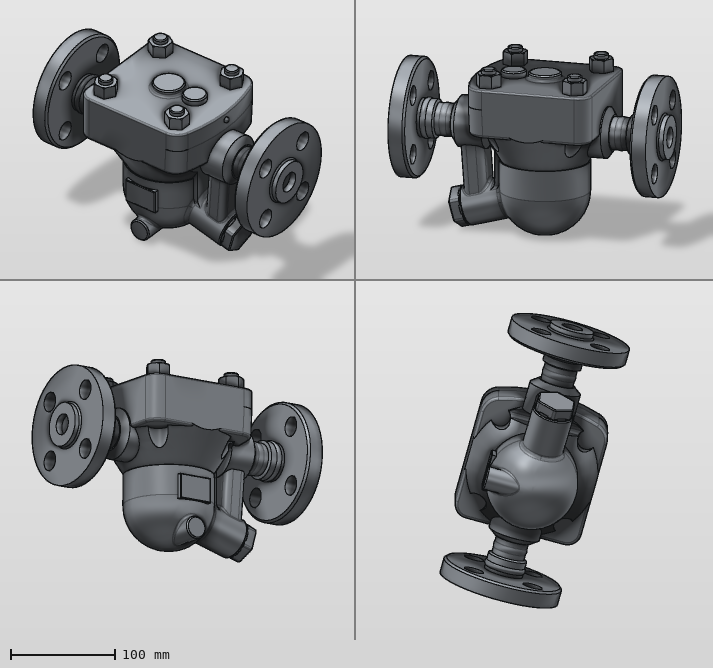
import cadquery as cq
import math

half_length = 135.5
flange_diameter = 117.0
flange_outer_face = 129.3
flange_inner_face = 113.0
flange_chamfer = 2.2
raised_face_diameter = 42.8
raised_face_flare = 1.5
bore_diameter = 20.0
bore_depth = 6.8
flange_hole_diameter = 19.0
flange_hole_spacing = 58.3
sleeve_diameter = 38.0
sleeve_bead_diameter = 40.0
sleeve_bead_ends = (104.0, 109.8)
sleeve_end = 97.5
sleeve_chamfer = 1.4
pipe_diameter = 32.0
pipe_bead_diameter = 33.0
pipe_bead_ends = (84.8, 91.0)
hub_diameter = 50.0
hub_cone_start = 73.7
hub_cone_end = 79.5
hub_cone_end_diameter = 35.2

block_left = -72.4
block_right = 58.8
block_width = 125.0
block_half_width = block_width / 2
block_top = 48.8
block_parting = 29.8
block_bottom = 1.5
left_corner_radius = 13.8
right_corner_radius = 18.0
bulge_radius = 168.0
bulge_draft = 1.4
block_top_fillet = 1.5
block_bottom_fillet = 2.7

body_x = -10.3
hex_sides = 6
stud_offset = 43.0
corner_sides = [(x_side, y_side) for x_side in (-1, 1) for y_side in (-1, 1)]
stud_diameter = 14.0
stud_top = 66.0
stud_chamfer = 1.0
nut_corner_diameter = 24.0
nut_top = 61.5
nut_chamfer = 1.0
stud_pocket_diameter = 19.0
stud_pocket_bottom = -24.5

boss_top = 55.3
main_boss_diameter = 32.0
main_boss_base_diameter = 38.0
main_boss_chamfer = 1.4
small_boss_diameter = 24.0
small_boss_x = 21.1
small_boss_chamfer = 1.4
locating_pin_diameter = 6.0
locating_pin_tip = 61.8
locating_pin_z = 40.6
locating_pin_fillet = 2.5

bowl_radius = 44.0
bowl_center_z = -61.8
bowl_top = -32.0
neck_bottom_radius = 42.5
neck_slope = 0.61
wall_right = 35.8
wall_half_width = 14.5
plate_width = 35.5
plate_height = 24.5
plate_center_z = -53.7
plate_face_y = -45.0
plate_chamfer = 0.8
drain_diameter = 22.2
drain_z = -92.7
drain_face_y = -46.3
drain_chamfer = 1.4
drain_fillet = 2.5

branch_angle = 15.3
branch_diameter = 40.0
branch_length = 80.8
branch_chamfer = 1.0
branch_fillet = 5.0
cap_corner_diameter = 40.6
cap_corner_fillet = 3.0
cap_start = 81.8
cap_end = 92.5
cap_neck_diameter = 36.3
cap_chamfer = 1.0
duct_x = 60.0
duct_top = -10.8
duct_length = 65.0
duct_tilt = 4.2
duct_width = 23.0
duct_depth = 32.5
duct_corner_fillet = 6.8
slot_width = 10.8
slot_top = 0.5
slot_corner_fillet = 4.0

seam_top = -hub_diameter / 2
duct_fillet = 2.5
edge_samples = (0.1, 0.37, 0.5, 0.8)
touch_tolerance = 0.003

overlap = 5.5


def cylinder(diameter, z_bottom, z_top, x=0.0, y=0.0):
    return cq.Workplane("XY", origin=(x, y, z_bottom)).circle(diameter / 2).extrude(z_top - z_bottom)


def bead(outline, ends, base_diameter, bead_diameter):
    """Continue an outline over a low rounded ring between two places on the pipe."""
    near, far = ends
    return (
        outline.lineTo(near, base_diameter / 2)
        .threePointArc(((near + far) / 2, bead_diameter / 2), (far, base_diameter / 2))
    )


def make_connection():
    """Hub, pipe, sleeve and flange of the +X end, as one turned shape."""
    outline = (
        cq.Workplane("XZ")
        .moveTo(block_right, 0)
        .lineTo(block_right, hub_diameter / 2)
        .lineTo(hub_cone_start, hub_diameter / 2)
        .lineTo(hub_cone_end, hub_cone_end_diameter / 2)
        .lineTo(hub_cone_end, pipe_diameter / 2)
    )
    outline = bead(outline, pipe_bead_ends, pipe_diameter, pipe_bead_diameter)
    outline = (
        outline.lineTo(sleeve_end - sleeve_chamfer, pipe_diameter / 2)
        .lineTo(sleeve_end, sleeve_diameter / 2)
    )
    outline = bead(outline, sleeve_bead_ends, sleeve_diameter, sleeve_bead_diameter)
    turned = (
        outline.lineTo(flange_inner_face, sleeve_diameter / 2)
        .lineTo(flange_inner_face, flange_diameter / 2 - flange_chamfer)
        .lineTo(flange_inner_face + flange_chamfer, flange_diameter / 2)
        .lineTo(flange_outer_face, flange_diameter / 2)
        .lineTo(flange_outer_face, raised_face_diameter / 2 + raised_face_flare)
        .lineTo(flange_outer_face + raised_face_flare, raised_face_diameter / 2)
        .lineTo(half_length, raised_face_diameter / 2)
        .lineTo(half_length, 0)
        .close()
        .revolve(360, (0, 0, 0), (1, 0, 0))
    )
    bore = (
        cq.Workplane("YZ", origin=(half_length - bore_depth, 0, 0))
        .circle(bore_diameter / 2)
        .extrude(bore_depth)
    )
    holes = (
        cq.Workplane("YZ", origin=(flange_inner_face, 0, 0))
        .rect(flange_hole_spacing, flange_hole_spacing, forConstruction=True)
        .vertices()
        .circle(flange_hole_diameter / 2)
        .extrude(half_length - flange_inner_face)
    )
    return turned.cut(bore).cut(holes)


def lies_on(edge, solid):
    """Tell whether an edge runs along the surface of a solid, from a few sample points."""
    for point in edge.positions(edge_samples):
        vertex = cq.Vertex.makeVertex(point.x, point.y, point.z)
        if min(face.distance(vertex) for face in solid.Faces()) > touch_tolerance:
            return False
    return True


def join_with_fillet(base, addition, radius):
    """Unite two shapes and round the edges below the pipe where their surfaces meet."""
    joined = base.union(addition)
    seam = [
        edge for edge in joined.edges().vals()
        if edge.Center().z < seam_top and lies_on(edge, base.val()) and lies_on(edge, addition.val())
    ]
    return joined.newObject(seam).fillet(radius)


def make_inner_hub(x_end):
    """Round hub that carries the pipe line from the middle of the block to one end."""
    return cq.Workplane("YZ").circle(hub_diameter / 2).extrude(x_end)


def make_block_layer(z_bottom, z_top, draft):
    """Rectangular layer whose +X side is a wide arc, set back by the draft at its bottom."""
    length = block_right - block_left
    layer = (
        cq.Workplane("XY")
        .box(length, block_width, z_top - z_bottom, centered=(False, True, False))
        .translate((block_left, 0, z_bottom))
    )
    bulge = (
        cq.Workplane("XZ", origin=(block_right - bulge_radius, 0, 0))
        .moveTo(0, z_bottom)
        .lineTo(bulge_radius - draft, z_bottom)
        .lineTo(bulge_radius, z_top)
        .lineTo(0, z_top)
        .close()
        .revolve(360, (0, 0, 0), (0, 1, 0))
    )
    layer = layer.intersect(bulge)
    layer = layer.edges("|Z and <X").fillet(left_corner_radius)
    for side in (-1, 1):
        corner = cq.selectors.NearestToPointSelector(
            (block_right, side * block_half_width, (z_bottom + z_top) / 2)
        )
        layer = layer.edges(corner).fillet(right_corner_radius)
    return layer


def make_block():
    cover = make_block_layer(block_parting, block_top, 0)
    cover = cover.faces(">Z").edges().fillet(block_top_fillet)
    base = make_block_layer(block_bottom, block_parting, bulge_draft)
    base = base.faces("<Z").edges().fillet(block_bottom_fillet)
    return cover.union(base)


def make_fasteners():
    """Four studs with nuts; neighbouring nuts are turned a quarter turn from each other."""
    fasteners = cq.Workplane("XY")
    nut_base = block_top - overlap
    for x_side, y_side in corner_sides:
        turn = 0 if x_side == y_side else 90
        x = body_x + x_side * stud_offset
        y = y_side * stud_offset
        nut = cq.Workplane("XY").polygon(hex_sides, nut_corner_diameter).extrude(nut_top - nut_base)
        limit = cylinder(nut_corner_diameter, 0, nut_top - nut_base).faces(">Z").chamfer(nut_chamfer)
        nut = nut.intersect(limit)
        nut = nut.rotate((0, 0, 0), (0, 0, 1), turn).translate((x, y, nut_base))
        stud = cylinder(stud_diameter, nut_base, stud_top, x, y).faces(">Z").chamfer(stud_chamfer)
        fasteners = fasteners.add(nut.union(stud))
    return fasteners.combine()


def make_cover_bosses():
    """Two round bosses on top of the cover, and the small pin on its +X side."""
    flare = (main_boss_base_diameter - main_boss_diameter) / 2
    main_boss = (
        cq.Workplane("XZ", origin=(body_x, 0, 0))
        .moveTo(0, block_top - overlap)
        .lineTo(main_boss_base_diameter / 2, block_top - overlap)
        .lineTo(main_boss_base_diameter / 2, block_top)
        .radiusArc((main_boss_diameter / 2, block_top + flare), flare)
        .lineTo(main_boss_diameter / 2, boss_top - main_boss_chamfer)
        .lineTo(main_boss_diameter / 2 - main_boss_chamfer, boss_top)
        .lineTo(0, boss_top)
        .close()
        .revolve(360, (0, 0, 0), (0, 1, 0))
    )
    small_boss = cylinder(small_boss_diameter, block_top - overlap, boss_top, small_boss_x)
    small_boss = small_boss.faces(">Z").chamfer(small_boss_chamfer)
    pin_start = block_right - overlap
    pin = (
        cq.Workplane("YZ", origin=(pin_start, 0, locating_pin_z))
        .circle(locating_pin_diameter / 2)
        .extrude(locating_pin_tip - pin_start)
        .faces(">X")
        .fillet(locating_pin_fillet)
    )
    return main_boss.union(small_boss).union(pin)


def make_bowl():
    """Round bowl, its conical neck, and the flat wall on its +X side."""
    neck_top = block_bottom + block_bottom_fillet
    neck_top_radius = neck_bottom_radius + neck_slope * (neck_top - bowl_top)
    bowl = (
        cq.Workplane("XZ", origin=(body_x, 0, 0))
        .moveTo(0, bowl_center_z - bowl_radius)
        .threePointArc(
            (bowl_radius * math.sqrt(0.5), bowl_center_z - bowl_radius * math.sqrt(0.5)),
            (bowl_radius, bowl_center_z),
        )
        .lineTo(bowl_radius, bowl_top)
        .lineTo(neck_bottom_radius, bowl_top)
        .lineTo(neck_top_radius, neck_top)
        .lineTo(0, neck_top)
        .close()
        .revolve(360, (0, 0, 0), (0, 1, 0))
    )
    wall_height = block_bottom - bowl_center_z
    wall = (
        cq.Workplane("XY")
        .box(wall_right - body_x, 2 * wall_half_width, wall_height, centered=(False, True, False))
        .translate((body_x, 0, bowl_center_z))
    )
    bowl = bowl.intersect(cq.Workplane("XY").box(2 * half_length, block_width, 2 * half_length))
    for x_side, y_side in corner_sides:
        x = body_x + x_side * stud_offset
        y = y_side * stud_offset
        bowl = bowl.cut(cylinder(stud_pocket_diameter, stud_pocket_bottom, block_bottom, x, y))
    return bowl.union(wall)


def make_plate():
    return (
        cq.Workplane("XZ", origin=(body_x, plate_face_y, plate_center_z))
        .rect(plate_width, plate_height)
        .extrude(-overlap)
        .faces("<Y")
        .chamfer(plate_chamfer)
    )


def make_drain():
    return (
        cq.Workplane("XZ", origin=(body_x, 0, drain_z))
        .circle(drain_diameter / 2)
        .extrude(-drain_face_y)
        .faces("<Y")
        .chamfer(drain_chamfer)
    )


def place_on_branch(shape):
    """Turn a shape built along +X so that it follows the branch axis from the bowl centre."""
    return shape.rotate((0, 0, 0), (0, 1, 0), branch_angle).translate((body_x, 0, bowl_center_z))


def make_branch():
    branch = cq.Workplane("YZ").circle(branch_diameter / 2).extrude(branch_length)
    return place_on_branch(branch.faces(">X").chamfer(branch_chamfer))


def make_cap():
    neck = cq.Workplane("YZ").circle(cap_neck_diameter / 2).extrude(cap_start + cap_chamfer)
    cap = (
        cq.Workplane("YZ", origin=(cap_start, 0, 0))
        .transformed(rotate=(0, 0, 90))
        .polygon(hex_sides, cap_corner_diameter)
        .extrude(cap_end - cap_start)
        .edges("|X")
        .fillet(cap_corner_fillet)
        .faces(">X")
        .chamfer(cap_chamfer)
    )
    return place_on_branch(neck.union(cap))


def make_duct():
    duct = (
        cq.Workplane("XY")
        .rect(duct_width, duct_depth)
        .extrude(-duct_length)
        .edges("|Z")
        .fillet(duct_corner_fillet)
    )
    return duct.rotate((0, 0, 0), (0, 1, 0), duct_tilt).translate((duct_x, 0, duct_top))


def make_slot():
    """Gap under the block between the bowl wall and the +X hub."""
    return (
        cq.Workplane("XY")
        .box(slot_width, block_width, slot_top + hub_diameter, centered=(False, True, False))
        .edges("|Y and >Z")
        .fillet(slot_corner_fillet)
        .translate((wall_right, 0, -hub_diameter))
    )


outlet = make_connection()
inlet = outlet.mirror("YZ")
housing = (
    make_bowl()
    .union(make_block())
    .union(make_inner_hub(-hub_cone_start))
    .union(make_inner_hub(hub_cone_start))
    .cut(make_slot())
)
housing = join_with_fillet(housing, make_branch(), branch_fillet)
housing = join_with_fillet(housing, make_drain(), drain_fillet)
housing = join_with_fillet(housing, make_duct(), duct_fillet)
result = (
    housing.union(outlet)
    .union(inlet)
    .union(make_plate())
    .union(make_cap())
    .union(make_fasteners())
    .union(make_cover_bosses())
)